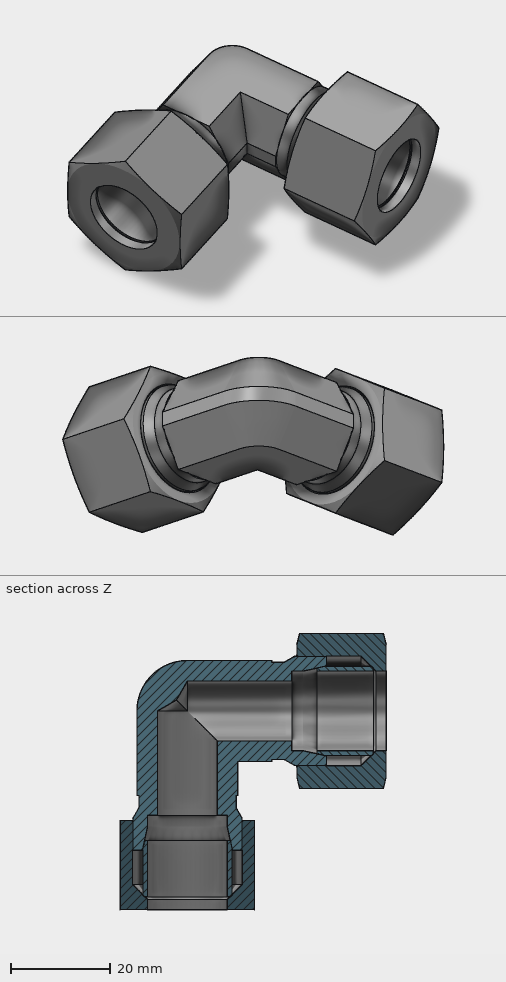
import cadquery as cq
import math


overall_length = 55.6
nut_across_flats = 27.0
nut_corner_radius = nut_across_flats / math.sqrt(3)
nut_outer_end = overall_length - nut_corner_radius
nut_length = 18.0
nut_inner_end = nut_outer_end - nut_length
nut_chamfer_radius = 13.45
nut_chamfer_angle = math.radians(15)
nut_throat_length = 2.1
nut_mouth_radius = 11.3

section_half_height = 9.55
section_half_width = 10.2
top_half_width = section_half_height / math.sqrt(3)
section_corner_reach = 2 * top_half_width
side_half_height = (section_corner_reach - section_half_width) * math.sqrt(3)
forging_end = 17.0

neck_radius = 9.85
neck_end = 19.5
thread_radius = 11.0
thread_runout_angle = math.radians(30)
thread_start = neck_end + (thread_radius - neck_radius) / math.tan(thread_runout_angle)
thread_end = 28.0

bore_radius = 6.0
drill_tip_angle = math.radians(60)
drill_tip_length = bore_radius / math.tan(drill_tip_angle)
tube_radius = 8.0
tube_stop = 21.0
socket_mouth_radius = 9.0
socket_angle = math.radians(12)
socket_length = (socket_mouth_radius - tube_radius) / math.tan(socket_angle)

seat_start = nut_outer_end - nut_throat_length
ring_setback = 0.5
ring_rear = seat_start - ring_setback
ring_rear_radius = tube_radius + ring_setback
ring_nose_length = 2.0
ring_nose_radius = socket_mouth_radius - ring_nose_length * math.tan(socket_angle)


def revolve_about_x(points):
    """Turn a closed (x, radius) outline fully around the X axis."""
    return cq.Workplane("XY").polyline(points).close().revolve(360, (0, 0, 0), (1, 0, 0))


def to_second_arm(body):
    """Swing a body from the +X arm to the -Y arm."""
    return body.rotate((0, 0, 0), (0, 0, 1), -90)


def on_both_arms(body):
    """Return the shape on the +X arm together with its copy on the -Y arm."""
    return body.union(to_second_arm(body))


def forged_arm():
    """Prismatic arm of the elbow, from the origin along +X."""
    right_half = [
        (top_half_width, -section_half_height),
        (section_half_width, -side_half_height),
        (section_half_width, side_half_height),
        (top_half_width, section_half_height),
    ]
    left_half = [(-y, -z) for y, z in right_half]
    return cq.Workplane("YZ").polyline(right_half + left_half).close().extrude(forging_end)


def rounded_heel():
    """Outer corner of the elbow: half the arm section swept a quarter turn about Z."""
    half_section = [
        (0, -section_half_height),
        (-top_half_width, -section_half_height),
        (-section_half_width, -side_half_height),
        (-section_half_width, side_half_height),
        (-top_half_width, section_half_height),
        (0, section_half_height),
    ]
    return cq.Workplane("XZ").polyline(half_section).close().revolve(90, (0, 0, 0), (0, -1, 0))


def turned_end():
    """Neck, run-out cone and plain thread cylinder at the end of the +X arm."""
    return revolve_about_x([
        (forging_end, 0),
        (forging_end, neck_radius),
        (neck_end, neck_radius),
        (thread_start, thread_radius),
        (thread_end, thread_radius),
        (thread_end, 0),
    ])


def passage():
    """Drilled bore with its drill tip, tube counterbore and conical ring socket."""
    return revolve_about_x([
        (-drill_tip_length, 0),
        (0, bore_radius),
        (tube_stop, bore_radius),
        (tube_stop, tube_radius),
        (thread_end - socket_length, tube_radius),
        (thread_end, socket_mouth_radius),
        (thread_end, 0),
    ])


def make_elbow():
    arm = forged_arm().union(turned_end())
    body = on_both_arms(arm).union(rounded_heel())
    return body.cut(on_both_arms(passage()))


def make_nut(turn):
    """Union nut on the +X arm, its hexagon turned about X by the given angle in degrees."""
    hexagon = (
        cq.Workplane("YZ", origin=(nut_inner_end, 0, 0))
        .polygon(6, 2 * nut_corner_radius)
        .extrude(nut_length)
        .rotate((0, 0, 0), (1, 0, 0), turn)
    )
    chamfer_depth = (nut_corner_radius - nut_chamfer_radius) * math.tan(nut_chamfer_angle)
    chamfered_blank = revolve_about_x([
        (nut_inner_end, 0),
        (nut_inner_end, nut_chamfer_radius),
        (nut_inner_end + chamfer_depth, nut_corner_radius),
        (nut_outer_end - chamfer_depth, nut_corner_radius),
        (nut_outer_end, nut_chamfer_radius),
        (nut_outer_end, 0),
    ])
    mouth_chamfer = nut_mouth_radius - thread_radius
    cavity = revolve_about_x([
        (nut_inner_end, 0),
        (nut_inner_end, nut_mouth_radius),
        (nut_inner_end + mouth_chamfer, thread_radius),
        (seat_start - (thread_radius - tube_radius), thread_radius),
        (seat_start, tube_radius),
        (nut_outer_end, tube_radius),
        (nut_outer_end, 0),
    ])
    return hexagon.intersect(chamfered_blank).cut(cavity)


def make_cutting_ring():
    """Cutting ring on the +X arm, its nose filling the mouth of the elbow's socket."""
    rear_cone_length = socket_mouth_radius - ring_rear_radius
    return revolve_about_x([
        (thread_end - ring_nose_length, tube_radius),
        (thread_end - ring_nose_length, ring_nose_radius),
        (thread_end, socket_mouth_radius),
        (ring_rear - rear_cone_length, socket_mouth_radius),
        (ring_rear, ring_rear_radius),
        (ring_rear, tube_radius),
    ])


elbow = make_elbow()

nuts = [make_nut(0), to_second_arm(make_nut(30))]
cutting_rings = [make_cutting_ring(), to_second_arm(make_cutting_ring())]

result = cq.Compound.makeCompound([body.val() for body in [elbow, *nuts, *cutting_rings]])